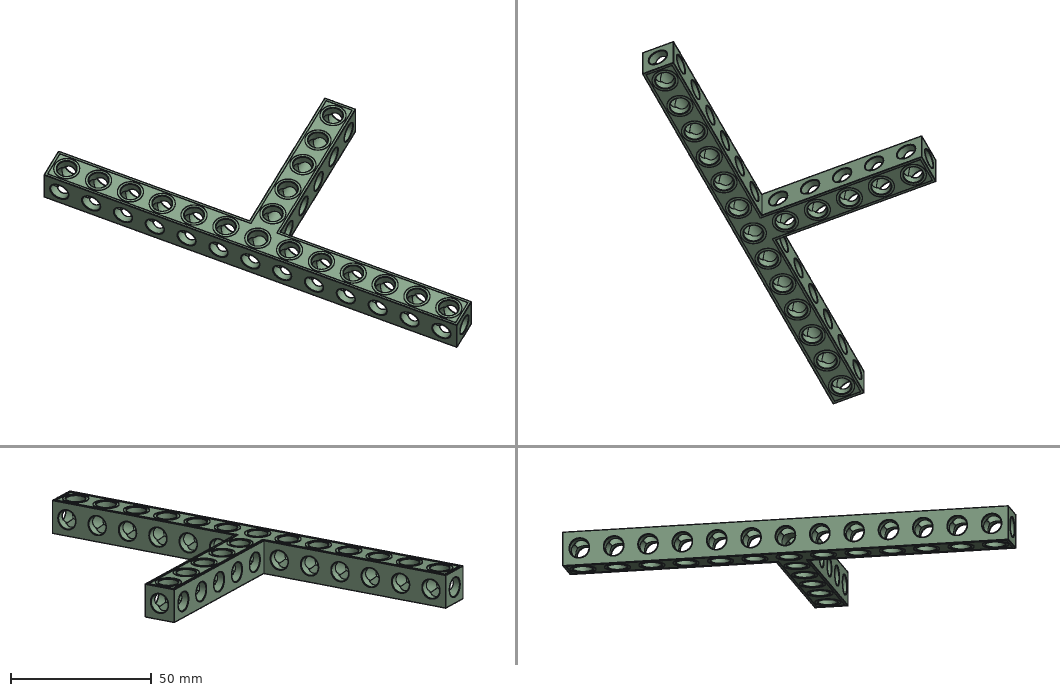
import cadquery as cq

overall_length = 162.5
beam_cells = 13
stem_cells = 5
hole_diameter = 7.0
mouth_chamfer = 0.23
side_collar_diameter = 7.5
side_collar_height = 0.2
top_collar_diameter = 9.3
recess_depth = 0.2
rim_width = 1.0
edge_chamfer = 0.2

pitch = overall_length / beam_cells
half_pitch = pitch / 2
half_length = overall_length / 2
stem_end = stem_cells * pitch + half_pitch

beam_x = [(i - (beam_cells - 1) / 2) * pitch for i in range(beam_cells)]
stem_y = [(i + 1) * pitch for i in range(stem_cells)]

z_holes = [((x, 0, -half_pitch), (0, 0, 1), pitch) for x in beam_x]
z_holes += [((0, y, -half_pitch), (0, 0, 1), pitch) for y in stem_y]
y_holes = [((x, -half_pitch, 0), (0, 1, 0), pitch) for x in beam_x if x != 0]
y_holes.append(((0, -half_pitch, 0), (0, 1, 0), half_pitch + stem_end))
x_holes = [((-half_pitch, y, 0), (1, 0, 0), pitch) for y in stem_y]
x_holes.append(((-half_length, 0, 0), (1, 0, 0), overall_length))
side_holes = x_holes + y_holes


def tee_bars(inset, height):
    """Beam and stem boxes whose sides lie a given inset within the outer size."""
    width = pitch - 2 * inset
    stem_reach = stem_end - inset
    beam = cq.Workplane("XY").box(overall_length - 2 * inset, width, height)
    stem = cq.Workplane("XY").box(width, stem_reach, height).translate((0, stem_reach / 2, 0))
    return beam, stem


def make_body():
    beam, stem = tee_bars(side_collar_height, pitch)
    return beam.edges().chamfer(edge_chamfer).union(stem.edges().chamfer(edge_chamfer))


def rods(holes, diameter):
    """Cylinders of one diameter along the given hole axes."""
    solids = []
    for start, direction, length in holes:
        solids.append(cq.Solid.makeCylinder(diameter / 2, length, cq.Vector(start), cq.Vector(direction)))
    return cq.Workplane("XY").newObject(solids).combine()


def make_recess():
    """Tee-shaped slab that sinks one face, sparing a ring around each hole."""
    beam, stem = tee_bars(side_collar_height + rim_width, recess_depth)
    return beam.union(stem)


def hole_cutter(start, direction, length):
    """Through hole with a bevel at both mouths."""
    start = cq.Vector(start)
    direction = cq.Vector(direction)
    end = start + direction * length
    radius = hole_diameter / 2
    mouth_radius = radius + mouth_chamfer
    cutter = cq.Solid.makeCylinder(radius, length, start, direction)
    near_mouth = cq.Solid.makeCone(mouth_radius, radius, mouth_chamfer, start, direction)
    far_mouth = cq.Solid.makeCone(mouth_radius, radius, mouth_chamfer, end, direction * -1)
    return cutter.fuse(near_mouth, far_mouth)


result = make_body()

top_rings = rods(z_holes, top_collar_diameter)
recess_height = half_pitch - recess_depth / 2
for side in (1, -1):
    recess = make_recess().translate((0, 0, side * recess_height))
    result = result.cut(recess.cut(top_rings))

result = result.union(rods(side_holes, side_collar_diameter))

for hole in z_holes + side_holes:
    result = result.cut(cq.Workplane("XY").newObject([hole_cutter(*hole)]))